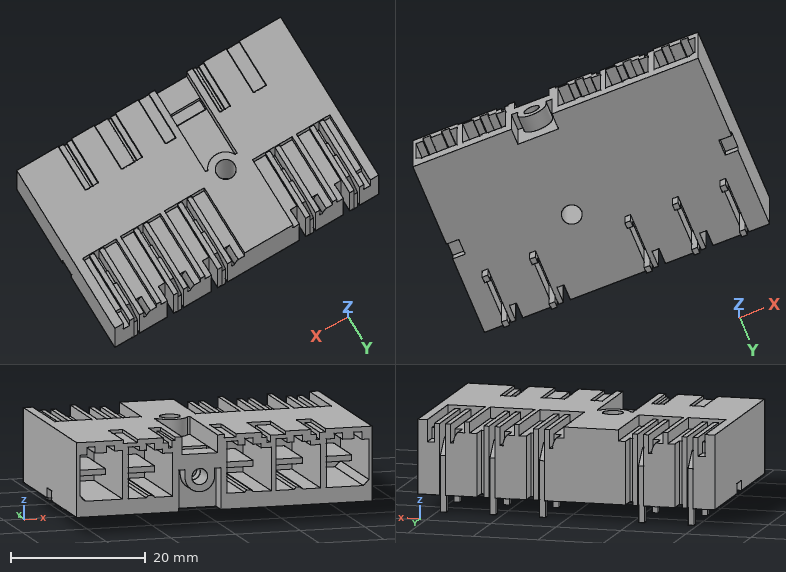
import cadquery as cq

LENGTH = 45.7
DEPTH = 28.3
HEIGHT = 11.35
PLACES = 6
PITCH = LENGTH / PLACES
CONTACT_PLACES = [0, 1, 3, 4, 5]
FLANGE_PLACE = 2
FIRST_PLACE = CONTACT_PLACES[0]
LAST_PLACE = CONTACT_PLACES[-1]

POCKET_DEPTH = 15.1
POCKET_HALF = 3.45
END_POCKET_HALF = 3.3
POCKET_FLOOR = 2.42
POCKET_CEILING = 9.6
KEYWAY_TOP = 10.55
INNER_KEYWAY_HALF = 0.65
INNER_LEFT_STEP = 1.75
INNER_LEFT_TOP = 10.25
INNER_RIGHT_STEP = 1.87
INNER_RIGHT_TOP = 9.0
END_OUTER_TOP = 9.4
END_INNER_TOP = 9.8
END_KEYWAY_WIDTH = 1.25
END_OUTER_KEYWAY = 0.95
END_INNER_KEYWAY = -2.05
END_CORNER = 0.85
RIDGE_HALF = 0.7
RIDGE_HEIGHT = 0.3

CODING_LENGTH = 7.85
SHELF_Z = HEIGHT - 0.5
SHELF_REACH = 1.8
SHELF_OVERLAP = 0.4
GROOVE_BOUNDARIES = [2, 4, 5]
GROOVE_LEFT = -1.85
GROOVE_MIDDLE = -1.0
GROOVE_RIGHT = -0.5
GROOVE_LEDGE_Z = KEYWAY_TOP
GROOVE_FLOOR_Z = 9.8

REAR_LENGTH = 11.65
REAR_FLOOR_Z = HEIGHT - 1.7
REAR_HALF = 3.45
FIN_OUTER = 1.25
FIN_TOP_Z = HEIGHT - 0.5
NOTCH_OUTER = 2.35
NOTCH_LENGTH = 2.55
NOTCH_DEPTH = 1.65
NOTCH_FLOOR_Z = REAR_FLOOR_Z - NOTCH_DEPTH
BULGE_WIDTH = 0.65

FLANGE_X = (FLANGE_PLACE + 0.5) * PITCH
TROUGH_WIDTH = 5.5
TROUGH_LENGTH = 14.6
TROUGH_FLOOR_Z = 8.65
MOUNT_Y = 15.85
MOUNT_HOLE_DIAMETER = 3.05
MOUNT_BOSS_RADIUS = 2.7
RELIEF_WIDTH = 6.5
RELIEF_DEPTH = 2.55
RELIEF_TOP = 6.3
SCREW_Z = 5.15
SCREW_HOLE_DIAMETER = 2.42
SCREW_BOSS_RADIUS = 2.3

NUT_SIZE = 5.25
NUT_THICKNESS = 1.75
NUT_Y = 4.85
NUT_CLEARANCE = 0.1

END_NOTCH_FRONT = 13.2
END_NOTCH_WIDTH = 2.5
END_NOTCH_HEIGHT = 1.55
END_NOTCH_DEPTH = 2.0

CONTACT_WIDTH = 0.9
BLADE_WIDTH = 4.5
BLADE_BOTTOM = 5.15
BLADE_TOP = 6.05
BLADE_TIP_Y = 5.5
LOW_BRIDGE_TOP = 6.95
HIGH_BRIDGE_TOP = 8.25
LEG_WIDTH = 0.95
PIN_LENGTH = 2.65
CONTACT_BACK = DEPTH - 0.55
CONTACT_CHAMFER = 2.3
BRIDGE_STEP_Y = DEPTH - 6.65
FRONT_LEG_Y = DEPTH - 9.15


def place_x(place):
    """X of the centre of a place in the row."""
    return (place + 0.5) * PITCH


def box(x0, x1, y0, y1, z0, z1):
    """Box between two opposite corners."""
    return cq.Workplane("XY").box(x1 - x0, y1 - y0, z1 - z0, centered=False).translate((x0, y0, z0))


def along_y(points, y0, y1):
    """Outline of (x, z) points swept from y0 to y1."""
    return cq.Workplane("XZ", origin=(0, y0, 0)).polyline(points).close().extrude(y0 - y1)


def inner_pocket(x):
    """Mating pocket with a stepped, keyed ceiling and a ridge on its floor."""
    points = [
        (-POCKET_HALF, POCKET_FLOOR),
        (-RIDGE_HALF, POCKET_FLOOR),
        (-RIDGE_HALF + RIDGE_HEIGHT, POCKET_FLOOR + RIDGE_HEIGHT),
        (RIDGE_HALF - RIDGE_HEIGHT, POCKET_FLOOR + RIDGE_HEIGHT),
        (RIDGE_HALF, POCKET_FLOOR),
        (POCKET_HALF, POCKET_FLOOR),
        (POCKET_HALF, INNER_RIGHT_TOP),
        (INNER_RIGHT_STEP, INNER_RIGHT_TOP),
        (INNER_RIGHT_STEP, POCKET_CEILING),
        (INNER_KEYWAY_HALF, POCKET_CEILING),
        (INNER_KEYWAY_HALF, KEYWAY_TOP),
        (-INNER_KEYWAY_HALF, KEYWAY_TOP),
        (-INNER_KEYWAY_HALF, POCKET_CEILING),
        (-INNER_LEFT_STEP, POCKET_CEILING),
        (-INNER_LEFT_STEP, INNER_LEFT_TOP),
        (-POCKET_HALF, INNER_LEFT_TOP),
    ]
    return along_y([(x + dx, z) for dx, z in points], 0, POCKET_DEPTH)


def end_pocket(x, outward):
    """Mating pocket at an end of the row; outward is -1 at the left end and 1 at the right."""
    points = [
        (END_POCKET_HALF, POCKET_FLOOR + END_CORNER),
        (END_POCKET_HALF, END_OUTER_TOP),
        (END_OUTER_KEYWAY + END_KEYWAY_WIDTH, END_OUTER_TOP),
        (END_OUTER_KEYWAY + END_KEYWAY_WIDTH, KEYWAY_TOP),
        (END_OUTER_KEYWAY, KEYWAY_TOP),
        (END_OUTER_KEYWAY, POCKET_CEILING),
        (END_INNER_KEYWAY + END_KEYWAY_WIDTH, POCKET_CEILING),
        (END_INNER_KEYWAY + END_KEYWAY_WIDTH, KEYWAY_TOP),
        (END_INNER_KEYWAY, KEYWAY_TOP),
        (END_INNER_KEYWAY, END_INNER_TOP),
        (-END_POCKET_HALF, END_INNER_TOP),
        (-END_POCKET_HALF, POCKET_FLOOR),
        (END_POCKET_HALF - END_CORNER, POCKET_FLOOR),
    ]
    return along_y([(x + outward * dx, z) for dx, z in points], 0, POCKET_DEPTH)


def coding_shelf(boundary, start, end):
    """Shallow recess, with start and end measured from the boundary between two places."""
    return box(boundary + start, boundary + end, 0, CODING_LENGTH, SHELF_Z, HEIGHT)


def coding_groove(boundary):
    """Stepped groove left of the boundary between two places."""
    left = boundary + GROOVE_LEFT
    middle = boundary + GROOVE_MIDDLE
    right = boundary + GROOVE_RIGHT
    ledge = box(left, right, 0, CODING_LENGTH, GROOVE_LEDGE_Z, HEIGHT)
    return ledge.union(box(middle, right, 0, CODING_LENGTH, GROOVE_FLOOR_Z, HEIGHT))


def rear_recess(place):
    """Recess around the two fins that guard a contact, which stand lower than the top face."""
    x = place_x(place)
    left = NOTCH_OUTER if place == FIRST_PLACE else REAR_HALF
    right = NOTCH_OUTER if place == LAST_PLACE else REAR_HALF
    front = DEPTH - REAR_LENGTH
    left_side = box(x - left, x - FIN_OUTER, front, DEPTH, REAR_FLOOR_Z, HEIGHT)
    right_side = box(x + FIN_OUTER, x + right, front, DEPTH, REAR_FLOOR_Z, HEIGHT)
    above_fins = box(x - FIN_OUTER, x + FIN_OUTER, front, DEPTH, FIN_TOP_Z, HEIGHT)
    return left_side.union(right_side).union(above_fins)


def rear_notch(x0, x1, bottom):
    """Notch in the back edge of a recess floor, down to the given height."""
    return box(x0, x1, DEPTH - NOTCH_LENGTH, DEPTH, bottom, HEIGHT)


def notch_bulge(x0):
    """Bulge on the left side of a notch: an arc from its top edge that ends upright on its floor."""
    radius = (NOTCH_DEPTH**2 + BULGE_WIDTH**2) / (2 * BULGE_WIDTH)
    return (
        cq.Workplane("XZ", origin=(x0, DEPTH, NOTCH_FLOOR_Z))
        .lineTo(0, NOTCH_DEPTH)
        .radiusArc((BULGE_WIDTH, 0), radius)
        .close()
        .extrude(NOTCH_LENGTH)
    )


def left_notch(place):
    """Blind notch left of the fins, with a bulging side except at the left end of the row."""
    x0 = place_x(place) - NOTCH_OUTER
    notch = rear_notch(x0, place_x(place) - FIN_OUTER, NOTCH_FLOOR_Z)
    if place == FIRST_PLACE:
        return notch
    return notch.cut(notch_bulge(x0))


def right_notch(place):
    """Notch right of the fins, open through the base except at the right end of the row."""
    bottom = NOTCH_FLOOR_Z if place == LAST_PLACE else 0
    return rear_notch(place_x(place) + FIN_OUTER, place_x(place) + NOTCH_OUTER, bottom)


def contact_slot(place):
    """Slot between the fins: open through the base behind the front leg, above the blade before it."""
    x0 = place_x(place) - CONTACT_WIDTH / 2
    x1 = x0 + CONTACT_WIDTH
    through = box(x0, x1, FRONT_LEG_Y, DEPTH, 0, HEIGHT)
    passage = box(x0, x1, POCKET_DEPTH, FRONT_LEG_Y, BLADE_BOTTOM, BLADE_TOP)
    window = box(x0, x1, DEPTH - REAR_LENGTH, FRONT_LEG_Y, BLADE_TOP, HEIGHT)
    return through.union(passage).union(window)


def flange_trough():
    """Trough in the top face, leaving the round boss of the mounting hole, with that hole."""
    half = TROUGH_WIDTH / 2
    trough = box(FLANGE_X - half, FLANGE_X + half, 0, TROUGH_LENGTH, TROUGH_FLOOR_Z, HEIGHT)
    centre = cq.Workplane("XY").center(FLANGE_X, MOUNT_Y)
    boss = centre.circle(MOUNT_BOSS_RADIUS).extrude(HEIGHT)
    hole = centre.circle(MOUNT_HOLE_DIAMETER / 2).extrude(HEIGHT)
    return trough.cut(boss).union(hole)


def flange_relief():
    """Relief below the flange, leaving the U-shaped screw boss."""
    half = RELIEF_WIDTH / 2
    relief = box(FLANGE_X - half, FLANGE_X + half, 0, RELIEF_DEPTH, 0, RELIEF_TOP)
    boss_top = box(
        FLANGE_X - SCREW_BOSS_RADIUS, FLANGE_X + SCREW_BOSS_RADIUS, 0, RELIEF_DEPTH, SCREW_Z, RELIEF_TOP
    )
    return relief.cut(boss_top).cut(screw_cylinder(SCREW_BOSS_RADIUS, 0, RELIEF_DEPTH))


def screw_cylinder(radius, y0, y1):
    """Cylinder on the axis of the flange screw."""
    return cq.Workplane("XZ", origin=(FLANGE_X, y0, SCREW_Z)).circle(radius).extrude(y0 - y1)


def nut_slot():
    """Slot for the nut, open to the trough, with the screw hole that leads to it."""
    half_width = NUT_SIZE / 2 + NUT_CLEARANCE
    half_gap = NUT_THICKNESS / 2 + NUT_CLEARANCE
    slot = box(
        FLANGE_X - half_width, FLANGE_X + half_width, NUT_Y - half_gap, NUT_Y + half_gap,
        SCREW_Z - NUT_SIZE / 2, TROUGH_FLOOR_Z,
    )
    return slot.union(screw_cylinder(SCREW_HOLE_DIAMETER / 2, 0, NUT_Y))


def end_notch(x0):
    """Notch in the bottom edge of an end of the housing."""
    back = END_NOTCH_FRONT + END_NOTCH_WIDTH
    return box(x0, x0 + END_NOTCH_DEPTH, END_NOTCH_FRONT, back, 0, END_NOTCH_HEIGHT)


def make_housing():
    """Housing of the header."""
    body = box(0, LENGTH, 0, DEPTH, 0, HEIGHT)
    for place in CONTACT_PLACES:
        body = body.cut(rear_recess(place)).cut(left_notch(place)).cut(right_notch(place))
        body = body.cut(contact_slot(place))
        if place == FIRST_PLACE:
            body = body.cut(end_pocket(place_x(place), -1))
        elif place == LAST_PLACE:
            body = body.cut(end_pocket(place_x(place), 1))
        else:
            body = body.cut(inner_pocket(place_x(place)))

    body = body.cut(coding_shelf(PITCH, -SHELF_OVERLAP, SHELF_REACH))
    body = body.cut(coding_shelf(2 * PITCH, GROOVE_RIGHT, 0))
    body = body.cut(coding_shelf(3 * PITCH, 0, SHELF_REACH))
    body = body.cut(coding_shelf(4 * PITCH, GROOVE_RIGHT, SHELF_REACH))
    body = body.cut(coding_shelf(5 * PITCH, GROOVE_RIGHT, SHELF_OVERLAP))
    for boundary in GROOVE_BOUNDARIES:
        body = body.cut(coding_groove(boundary * PITCH))

    body = body.cut(flange_trough()).cut(flange_relief()).cut(nut_slot())
    return body.cut(end_notch(0)).cut(end_notch(LENGTH - END_NOTCH_DEPTH))


def make_contact(x):
    """Contact with a wide blade in the pocket, a stepped bridge and two solder legs."""
    profile = [
        (POCKET_DEPTH, BLADE_BOTTOM),
        (POCKET_DEPTH, BLADE_TOP),
        (FRONT_LEG_Y, BLADE_TOP),
        (FRONT_LEG_Y, LOW_BRIDGE_TOP),
        (BRIDGE_STEP_Y, LOW_BRIDGE_TOP),
        (BRIDGE_STEP_Y, HIGH_BRIDGE_TOP),
        (CONTACT_BACK - CONTACT_CHAMFER, HIGH_BRIDGE_TOP),
        (CONTACT_BACK, HIGH_BRIDGE_TOP - CONTACT_CHAMFER),
        (CONTACT_BACK, -PIN_LENGTH),
        (CONTACT_BACK - LEG_WIDTH, -PIN_LENGTH),
        (CONTACT_BACK - LEG_WIDTH, BLADE_BOTTOM),
        (FRONT_LEG_Y + LEG_WIDTH, BLADE_BOTTOM),
        (FRONT_LEG_Y + LEG_WIDTH, -PIN_LENGTH),
        (FRONT_LEG_Y, -PIN_LENGTH),
        (FRONT_LEG_Y, BLADE_BOTTOM),
    ]
    left = cq.Workplane("YZ", origin=(x - CONTACT_WIDTH / 2, 0, 0))
    bridge = left.polyline(profile).close().extrude(CONTACT_WIDTH)
    half_blade = BLADE_WIDTH / 2
    blade = box(x - half_blade, x + half_blade, BLADE_TIP_Y, POCKET_DEPTH, BLADE_BOTTOM, BLADE_TOP)
    return bridge.union(blade)


def make_nut():
    """Square nut on the axis of the flange screw, resting on the bottom of its slot."""
    half = NUT_SIZE / 2
    front = NUT_Y - NUT_THICKNESS / 2
    back = front + NUT_THICKNESS
    block = box(FLANGE_X - half, FLANGE_X + half, front, back, SCREW_Z - half, SCREW_Z + half)
    return block.cut(screw_cylinder(SCREW_HOLE_DIAMETER / 2, front, back))


housing = make_housing()
contacts = [make_contact(place_x(place)) for place in CONTACT_PLACES]
nut = make_nut()

result = cq.Compound.makeCompound([housing.val(), *[contact.val() for contact in contacts], nut.val()])